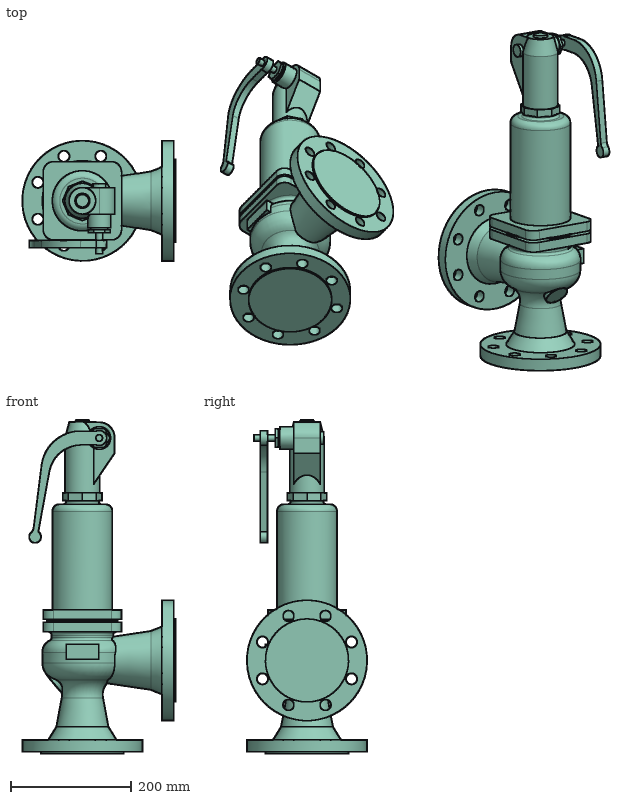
import cadquery as cq
import math


FLANGE_RADIUS = 100
FLANGE_THICKNESS = 20
FACE_RADIUS = 69
FACE_HEIGHT = 3
FLANGE_BACK = FACE_HEIGHT + FLANGE_THICKNESS
BOLT_CIRCLE_RADIUS = 80
BOLT_HOLE_DIAMETER = 18
BOLT_COUNT = 8
CENTRE_TO_FACE = 155

INLET_ROOT_RADIUS = 57
INLET_FLARE_RADIUS = 43.5
INLET_FLARE_TOP = 44.5
THROAT_RADIUS = 34.5
THROAT_Z = 93
BOWL_RADIUS = 66.7
BOWL_LOWER_ARC = 31
BOWL_LOWER_Z = 151.5
BOWL_UPPER_ARC = 22
BOWL_UPPER_Z = 168.5
BOWL_UPPER_SWEEP = math.radians(65)
BOWL_BOTTOM_Z = 123
COLLAR_RADIUS = 51.5
COLLAR_BOTTOM_Z = 193.5
COLLAR_TOP_Z = 197
COLLAR_FLARE = 5.5

OUTLET_START_X = 30
OUTLET_START_RADIUS = 36.5
OUTLET_FLARE_X = 113.5
OUTLET_FLARE_RADIUS = 49
OUTLET_ROOT_RADIUS = 56.5

PLATE_SIDE = 130
PLATE_CORNER = 17
PLATE_THICKNESS = 16
LOWER_PLATE_Z = COLLAR_TOP_Z + COLLAR_FLARE
LOWER_PLATE_TOP = LOWER_PLATE_Z + PLATE_THICKNESS
GASKET_RADIUS = 59
GASKET_THICKNESS = 2
SPIGOT_RADIUS = 54
PLATE_GAP = 4.5
UPPER_PLATE_Z = LOWER_PLATE_TOP + PLATE_GAP
UPPER_PLATE_TOP = UPPER_PLATE_Z + PLATE_THICKNESS
BONNET_RADIUS = 50
BONNET_TOP = 414.5
BONNET_ROUND = 12

STEM_RADIUS = 27.5
STEM_FLARE = 4
NUT_Z = 420.5
NUT_HEIGHT = 12.5
NUT_SIDES = 8
NUT_CORNER_RADIUS = 32.8
CAP_Z = NUT_Z + NUT_HEIGHT
CAP_RADIUS = 29
CAP_CONE_Z = 524
CAP_TOP = 551
CAP_TOP_RADIUS = 22
BUTTON_RADIUS = 12.3
BUTTON_TOP = 554.5
BUTTON_TAPER = 27

PIN_X = 28
PIN_Z = 524.3
PIN_RADIUS = 5.5
PIN_END_Y = -88
LUG_HALF_WIDTH = 22
LUG_TOP = 550.6
LUG_RADIUS = 25.7
LUG_SHOULDER_Z = 499
LUG_TIP_X = 10
LUG_SLOPE = 1.47
BOSS_RADIUS = 18.8
BOSS_END_Y = -45
GROOVE_RADIUS = 14.5
GLAND_NUT_Y = -48
GLAND_NUT_END_Y = -53
GLAND_NUT_FLATS = 31
GLAND_NUT_SIDES = 6
END_CAP_RADIUS = 10.5
END_CAP_Y = 28

LEVER_FRONT_Y = -78
LEVER_BACK_Y = -65.5
LEVER_EYE_RADIUS = 12.4
LEVER_ARM_HALF_HEIGHT = 11.5
LEVER_OUTER_START_X = -3.5
LEVER_OUTER_BEND = 65
LEVER_OUTER_LEAN = math.radians(7.2)
LEVER_INNER_START_X = -1.5
LEVER_INNER_BEND = 54
LEVER_INNER_LEAN = math.radians(10.4)
LEVER_GRIP_Z = 375.5
KNOB_RADIUS = 10
KNOB_X = -78.5
KNOB_Z = 360
KNOB_FILLET_ANGLE = math.radians(124)

DRAIN_RADIUS = 19.5
DRAIN_X = -47
DRAIN_Z = 116
DRAIN_DIP = math.radians(40)
DRAIN_DEPTH = 35
NAME_PLATE_WIDTH = 54
NAME_PLATE_Y = -69
NAME_PLATE_BOTTOM = 157
NAME_PLATE_HEIGHT = 25


def arc_point(centre, radius, angle):
    """Point on a circle in a profile plane."""
    return (centre[0] + radius * math.cos(angle), centre[1] + radius * math.sin(angle))


def disc(radius, bottom, top):
    return cq.Workplane("XY", origin=(0, 0, bottom)).circle(radius).extrude(top - bottom)


def pin_disc(radius, start_y, end_y):
    """Disc on the lever pin axis between two Y positions."""
    plane = cq.Workplane("XZ", origin=(PIN_X, start_y, PIN_Z))
    return plane.circle(radius).extrude(start_y - end_y)


def pipe_flange():
    """Flange along Z with its sealing face on Z = 0; holes straddle the centre lines."""
    flange = disc(FACE_RADIUS, 0, FLANGE_BACK).union(disc(FLANGE_RADIUS, FACE_HEIGHT, FLANGE_BACK))
    holes = (
        cq.Workplane("XY")
        .polarArray(BOLT_CIRCLE_RADIUS, 180 / BOLT_COUNT, 360, BOLT_COUNT)
        .circle(BOLT_HOLE_DIAMETER / 2)
        .extrude(FLANGE_BACK)
    )
    return flange.cut(holes)


def valve_body():
    """Revolved inlet neck, bowl and collar."""
    lower_centre = (BOWL_RADIUS - BOWL_LOWER_ARC, BOWL_LOWER_Z)
    upper_centre = (BOWL_RADIUS - BOWL_UPPER_ARC, BOWL_UPPER_Z)
    lower_sweep = math.asin((BOWL_LOWER_Z - BOWL_BOTTOM_Z) / BOWL_LOWER_ARC)
    profile = (
        cq.Workplane("XZ")
        .moveTo(0, FLANGE_BACK)
        .lineTo(INLET_ROOT_RADIUS, FLANGE_BACK)
        .lineTo(INLET_FLARE_RADIUS, INLET_FLARE_TOP)
        .lineTo(THROAT_RADIUS, THROAT_Z)
        .tangentArcPoint(arc_point(lower_centre, BOWL_LOWER_ARC, -lower_sweep), relative=False)
        .threePointArc(
            arc_point(lower_centre, BOWL_LOWER_ARC, -lower_sweep / 2),
            (BOWL_RADIUS, BOWL_LOWER_Z),
        )
        .lineTo(BOWL_RADIUS, BOWL_UPPER_Z)
        .threePointArc(
            arc_point(upper_centre, BOWL_UPPER_ARC, BOWL_UPPER_SWEEP / 2),
            arc_point(upper_centre, BOWL_UPPER_ARC, BOWL_UPPER_SWEEP),
        )
        .tangentArcPoint((COLLAR_RADIUS, COLLAR_BOTTOM_Z), relative=False)
        .lineTo(COLLAR_RADIUS, COLLAR_TOP_Z)
        .tangentArcPoint((COLLAR_RADIUS + COLLAR_FLARE, LOWER_PLATE_Z), relative=False)
        .lineTo(0, LOWER_PLATE_Z)
        .close()
    )
    return profile.revolve(360, (0, 0, 0), (0, 1, 0))


def outlet():
    """Conical outlet neck with its flange, along +X."""
    flange_back_x = CENTRE_TO_FACE - FLANGE_BACK
    neck = (
        cq.Workplane("XZ")
        .moveTo(OUTLET_START_X, 0)
        .lineTo(OUTLET_START_X, OUTLET_START_RADIUS)
        .lineTo(OUTLET_FLARE_X, OUTLET_FLARE_RADIUS)
        .lineTo(flange_back_x, OUTLET_ROOT_RADIUS)
        .lineTo(flange_back_x, 0)
        .close()
        .revolve(360, (0, 0, 0), (1, 0, 0))
    )
    flange = pipe_flange().rotate((0, 0, 0), (0, 1, 0), -90).translate((CENTRE_TO_FACE, 0, 0))
    return neck.union(flange).translate((0, 0, CENTRE_TO_FACE))


def drain_boss():
    """Blind boss low on the bowl, its flat face looking out and down."""
    outward = cq.Vector(-math.cos(DRAIN_DIP), 0, -math.sin(DRAIN_DIP))
    plane = cq.Plane(origin=(DRAIN_X, 0, DRAIN_Z), xDir=(0, 1, 0), normal=outward)
    return cq.Workplane(plane).circle(DRAIN_RADIUS).extrude(-DRAIN_DEPTH)


def name_plate():
    """Flat pad on the -Y side, reaching into the bowl."""
    plate = cq.Workplane("XY").box(
        NAME_PLATE_WIDTH, -NAME_PLATE_Y, NAME_PLATE_HEIGHT, centered=(True, False, False)
    )
    return plate.translate((0, NAME_PLATE_Y, NAME_PLATE_BOTTOM))


def square_plate(bottom):
    plate = cq.Workplane("XY", origin=(0, 0, bottom)).rect(PLATE_SIDE, PLATE_SIDE)
    return plate.extrude(PLATE_THICKNESS).edges("|Z").fillet(PLATE_CORNER)


def bonnet():
    """Bolted joint plates, gasket and the rounded spring bonnet."""
    gasket = disc(GASKET_RADIUS, LOWER_PLATE_TOP, LOWER_PLATE_TOP + GASKET_THICKNESS)
    spigot = disc(SPIGOT_RADIUS, LOWER_PLATE_TOP, UPPER_PLATE_Z)
    housing = disc(BONNET_RADIUS, UPPER_PLATE_TOP, BONNET_TOP).faces(">Z").edges().fillet(BONNET_ROUND)
    joint = square_plate(LOWER_PLATE_Z).union(gasket).union(spigot).union(square_plate(UPPER_PLATE_Z))
    return joint.union(housing)


def lock_nut():
    """Flared stem and the eight-sided nut with corners on the X and Y axes."""
    flare_centre = (STEM_RADIUS + STEM_FLARE, BONNET_TOP + STEM_FLARE)
    stem = (
        cq.Workplane("XZ")
        .moveTo(0, BONNET_TOP)
        .lineTo(STEM_RADIUS + STEM_FLARE, BONNET_TOP)
        .threePointArc(
            arc_point(flare_centre, STEM_FLARE, math.radians(225)),
            (STEM_RADIUS, BONNET_TOP + STEM_FLARE),
        )
        .lineTo(STEM_RADIUS, NUT_Z)
        .lineTo(0, NUT_Z)
        .close()
        .revolve(360, (0, 0, 0), (0, 1, 0))
    )
    nut = cq.Workplane("XY", origin=(0, 0, NUT_Z)).polygon(NUT_SIDES, 2 * NUT_CORNER_RADIUS).extrude(NUT_HEIGHT)
    return stem.union(nut)


def cap():
    """Cap with a conical top and a tapered button."""
    shell = (
        cq.Workplane("XZ")
        .moveTo(0, CAP_Z)
        .lineTo(CAP_RADIUS, CAP_Z)
        .lineTo(CAP_RADIUS, CAP_CONE_Z)
        .lineTo(CAP_TOP_RADIUS, CAP_TOP)
        .lineTo(0, CAP_TOP)
        .close()
        .revolve(360, (0, 0, 0), (0, 1, 0))
    )
    button = (
        cq.Workplane("XY", origin=(0, 0, CAP_TOP))
        .circle(BUTTON_RADIUS)
        .extrude(BUTTON_TOP - CAP_TOP, taper=BUTTON_TAPER)
    )
    return shell.union(button)


def lever_bearing():
    """Lug on the cap with the pin boss, gland nut, pin and rear end cap."""
    lug_right = PIN_X + LUG_RADIUS
    lug_tip_z = LUG_SHOULDER_Z - LUG_SLOPE * (lug_right - LUG_TIP_X)
    lug = (
        cq.Workplane("XZ", origin=(0, LUG_HALF_WIDTH, 0))
        .moveTo(0, LUG_TOP)
        .lineTo(PIN_X, LUG_TOP)
        .tangentArcPoint((lug_right, LUG_TOP - LUG_RADIUS), relative=False)
        .lineTo(lug_right, LUG_SHOULDER_Z)
        .lineTo(LUG_TIP_X, lug_tip_z)
        .lineTo(0, lug_tip_z)
        .close()
        .extrude(2 * LUG_HALF_WIDTH)
    )
    gland_nut_corners = GLAND_NUT_FLATS / math.cos(math.pi / GLAND_NUT_SIDES)
    gland_nut = (
        cq.Workplane("XZ", origin=(PIN_X, GLAND_NUT_Y, PIN_Z))
        .polygon(GLAND_NUT_SIDES, gland_nut_corners)
        .extrude(GLAND_NUT_Y - GLAND_NUT_END_Y)
    )
    return (
        lug.union(pin_disc(BOSS_RADIUS, 0, BOSS_END_Y))
        .union(pin_disc(GROOVE_RADIUS, BOSS_END_Y, GLAND_NUT_Y))
        .union(gland_nut)
        .union(pin_disc(PIN_RADIUS, GLAND_NUT_END_Y, PIN_END_Y))
        .union(pin_disc(END_CAP_RADIUS, END_CAP_Y, 0))
    )


def bend_point(start_x, start_z, bend, turned):
    """Point on a bend that starts heading along -X and turns downward by an angle."""
    return (start_x - bend * math.sin(turned), start_z - bend * (1 - math.cos(turned)))


def lever():
    """Tapered, bent lifting lever with a round eye and a round knob."""
    top_z = PIN_Z + LEVER_ARM_HALF_HEIGHT
    bottom_z = PIN_Z - LEVER_ARM_HALF_HEIGHT
    eye_start_x = PIN_X - math.sqrt(LEVER_EYE_RADIUS**2 - LEVER_ARM_HALF_HEIGHT**2)
    outer_turn = math.pi / 2 - LEVER_OUTER_LEAN
    inner_turn = math.pi / 2 - LEVER_INNER_LEAN
    outer_end = bend_point(LEVER_OUTER_START_X, top_z, LEVER_OUTER_BEND, outer_turn)
    inner_end = bend_point(LEVER_INNER_START_X, bottom_z, LEVER_INNER_BEND, inner_turn)
    grip_x = outer_end[0] - (outer_end[1] - LEVER_GRIP_Z) * math.tan(LEVER_OUTER_LEAN)
    knob_inner_x = inner_end[0] - (inner_end[1] - KNOB_Z) * math.tan(LEVER_INNER_LEAN)
    fillet_end = arc_point((KNOB_X, KNOB_Z), KNOB_RADIUS, KNOB_FILLET_ANGLE)
    arm = (
        cq.Workplane("XZ", origin=(0, LEVER_BACK_Y, 0))
        .moveTo(eye_start_x, top_z)
        .lineTo(LEVER_OUTER_START_X, top_z)
        .tangentArcPoint(outer_end, relative=False)
        .lineTo(grip_x, LEVER_GRIP_Z)
        .tangentArcPoint(fillet_end, relative=False)
        .lineTo(KNOB_X, KNOB_Z)
        .lineTo(knob_inner_x, KNOB_Z)
        .lineTo(*inner_end)
        .threePointArc(
            bend_point(LEVER_INNER_START_X, bottom_z, LEVER_INNER_BEND, inner_turn / 2),
            (LEVER_INNER_START_X, bottom_z),
        )
        .lineTo(eye_start_x, bottom_z)
        .threePointArc((PIN_X + LEVER_EYE_RADIUS, PIN_Z), (eye_start_x, top_z))
        .close()
        .extrude(LEVER_BACK_Y - LEVER_FRONT_Y)
    )
    knob = (
        cq.Workplane("XZ", origin=(KNOB_X, LEVER_BACK_Y, KNOB_Z))
        .circle(KNOB_RADIUS)
        .extrude(LEVER_BACK_Y - LEVER_FRONT_Y)
    )
    return arm.union(knob)


result = (
    pipe_flange()
    .union(valve_body())
    .union(outlet())
    .union(drain_boss())
    .union(name_plate())
    .union(bonnet())
    .union(lock_nut())
    .union(cap())
    .union(lever_bearing())
    .union(lever())
)